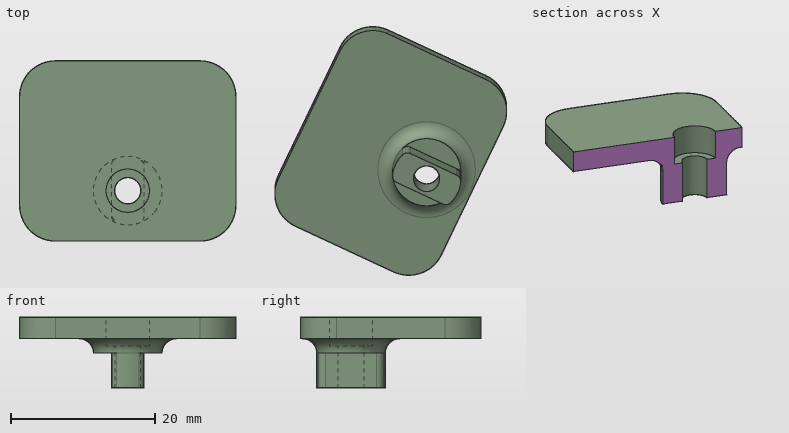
import cadquery as cq

PLATE_LENGTH = 30.0
PLATE_WIDTH = 25.0
PLATE_THICKNESS = 3.0
PLATE_CORNER_RADIUS = 5.0

AXIS_X = 0.0
AXIS_Y = -5.5

BOSS_DIAMETER = 9.5
BOSS_HEIGHT = 2.0
FLARE_RADIUS = BOSS_HEIGHT

TONGUE_THICKNESS = 4.5
TONGUE_HEIGHT = 4.8
TONGUE_CORNER_RADIUS = 1.0

SCREW_DIAMETER = 3.6
HEAD_DIAMETER = 6.0
HEAD_DEPTH = 4.0

BOSS_BOTTOM = -BOSS_HEIGHT
TONGUE_BOTTOM = BOSS_BOTTOM - TONGUE_HEIGHT


def axis_plane(z):
    """Horizontal workplane at height z, centred on the boss axis."""
    return cq.Workplane("XY", origin=(AXIS_X, AXIS_Y, z))


def make_plate():
    block = cq.Workplane("XY").box(
        PLATE_LENGTH, PLATE_WIDTH, PLATE_THICKNESS, centered=(True, True, False)
    )
    return block.edges("|Z").fillet(PLATE_CORNER_RADIUS)


def make_boss():
    """Revolved boss whose side is a concave arc, tangent to the plate underside."""
    boss_radius = BOSS_DIAMETER / 2
    arc_start = (boss_radius, BOSS_BOTTOM)
    arc_end = (boss_radius + FLARE_RADIUS, 0)
    profile = (
        cq.Workplane("XZ", origin=(AXIS_X, AXIS_Y, 0))
        .moveTo(0, 0)
        .lineTo(0, BOSS_BOTTOM)
        .lineTo(*arc_start)
        .radiusArc(arc_end, FLARE_RADIUS)
        .close()
    )
    return profile.revolve(axisStart=(0, 0, 0), axisEnd=(0, 1, 0))


def make_tongue():
    disc = axis_plane(TONGUE_BOTTOM).circle(BOSS_DIAMETER / 2).extrude(TONGUE_HEIGHT)
    slab = axis_plane(TONGUE_BOTTOM).rect(TONGUE_THICKNESS, BOSS_DIAMETER).extrude(TONGUE_HEIGHT)
    return disc.intersect(slab).edges("|Z").fillet(TONGUE_CORNER_RADIUS)


def make_screw_hole():
    total_height = PLATE_THICKNESS - TONGUE_BOTTOM
    shank = axis_plane(TONGUE_BOTTOM).circle(SCREW_DIAMETER / 2).extrude(total_height)
    head = axis_plane(PLATE_THICKNESS).circle(HEAD_DIAMETER / 2).extrude(-HEAD_DEPTH)
    return shank.union(head)


result = make_plate().union(make_boss()).union(make_tongue()).cut(make_screw_hole())